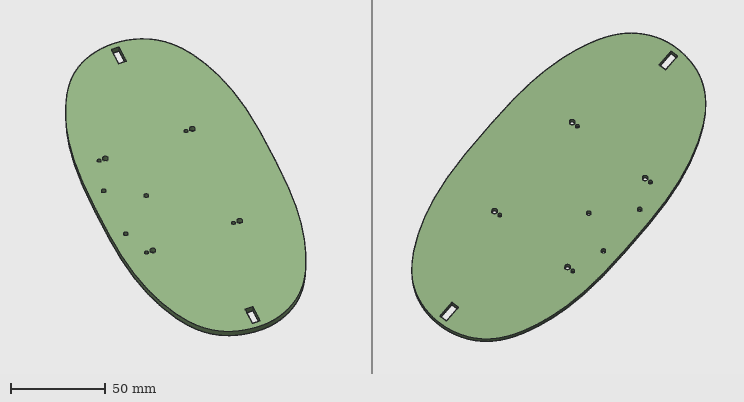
import cadquery as cq

length = 200.1
width = 100.3
thickness = 4.0

rim_points = [(94.9, 20.0), (90.0, 26.6), (70.0, 39.8), (40.0, 48.0)]

slot_length = 10.0
slot_width = 4.5
slot_end_margin = 3.2

mount_hole_diameter = 3.0
pilot_hole_diameter = 2.0
pilot_drop = 3.6
mount_spacing_x = 65.0
mount_spacing_y = 50.0
mount_center_y = -7.6

triangle_hole_diameter = 2.5
triangle_apex = (-1.8, -22.0)
triangle_base_y = -41.6
triangle_base_left_x = -13.5
triangle_base_right_x = 17.0


def oval_plate():
    """Flat plate with a smooth rim, symmetric about X and Y."""
    first_quarter = [(length / 2, 0)] + rim_points
    upper_left = [(-x, y) for x, y in reversed(rim_points)]
    upper_half = first_quarter + [(0, width / 2)] + upper_left
    lower_half = [(-x, -y) for x, y in upper_half]
    rim = cq.Workplane("XY").spline(upper_half + lower_half, periodic=True).close()
    return rim.extrude(thickness)


def round_holes(centers, diameter):
    return cq.Workplane("XY").pushPoints(centers).circle(diameter / 2).extrude(thickness)


def end_slots():
    slot_x = length / 2 - slot_end_margin - slot_length / 2
    slots = cq.Workplane("XY").pushPoints([(-slot_x, 0), (slot_x, 0)])
    return slots.rect(slot_length, slot_width).extrude(thickness)


mount_centers = [
    (side_x * mount_spacing_x / 2, mount_center_y + side_y * mount_spacing_y / 2)
    for side_x in (-1, 1)
    for side_y in (-1, 1)
]
pilot_centers = [(x, y - pilot_drop) for x, y in mount_centers]
triangle_centers = [
    triangle_apex,
    (triangle_base_left_x, triangle_base_y),
    (triangle_base_right_x, triangle_base_y),
]

result = (
    oval_plate()
    .cut(end_slots())
    .cut(round_holes(mount_centers, mount_hole_diameter))
    .cut(round_holes(pilot_centers, pilot_hole_diameter))
    .cut(round_holes(triangle_centers, triangle_hole_diameter))
)